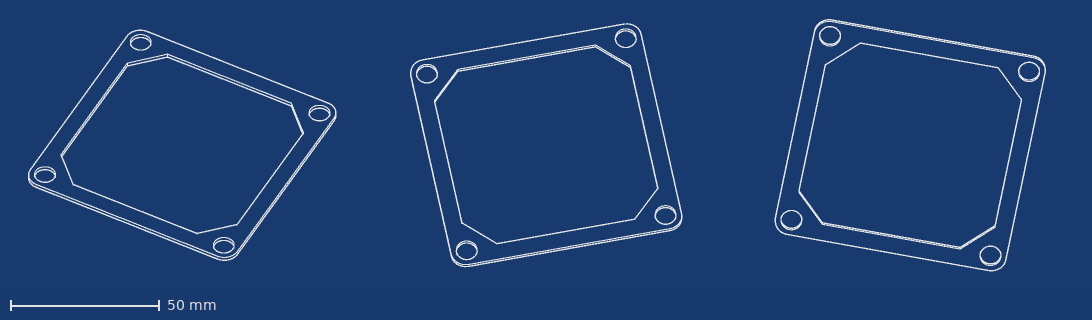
import cadquery as cq

side = 79.0
thickness = 1.5
corner_radius = 5.0

opening_side = 67.2
opening_chamfer = 10.0

hole_diameter = 7.0
hole_spacing = 68.2


def make_plate():
    """Square plate with rounded corners, bottom face on Z = 0."""
    plate = cq.Workplane("XY").rect(side, side).extrude(thickness)
    return plate.edges("|Z").fillet(corner_radius)


def make_opening():
    """Chamfered square prism that clears the middle of the plate."""
    opening = cq.Workplane("XY").rect(opening_side, opening_side).extrude(thickness)
    return opening.edges("|Z").chamfer(opening_chamfer)


def make_mounting_holes():
    """Four through-hole cylinders on a square pattern."""
    centres = cq.Workplane("XY").rect(hole_spacing, hole_spacing, forConstruction=True).vertices()
    return centres.circle(hole_diameter / 2).extrude(thickness)


result = make_plate().cut(make_opening()).cut(make_mounting_holes())